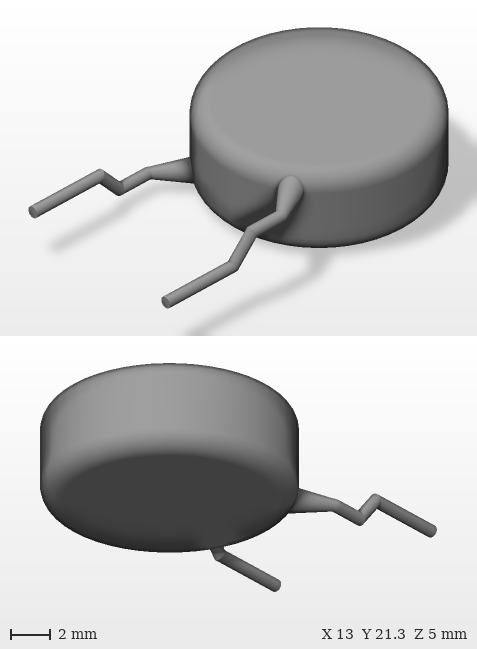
import cadquery as cq
import math


disc_diameter = 13.0
disc_height = 5.0
disc_edge_radius = 1.0
disc_radius = disc_diameter / 2

wire_diameter = 0.65
wire_radius = wire_diameter / 2
lead_spacing = 10.0
lead_level = disc_height / 2 - disc_edge_radius
kink_start_y = -8.99
kink_end_y = -10.29
overall_length = 21.3
lead_end_y = disc_radius - overall_length

collar_angle = 35.5
collar_root_radius = 0.83
collar_root_distance = disc_radius - disc_edge_radius

bend_radius = 0.35
sin_angle = math.sin(math.radians(collar_angle))
cos_angle = math.cos(math.radians(collar_angle))
bend_axis_offset = lead_spacing / 2 - bend_radius
collar_tip_distance = (bend_axis_offset + bend_radius * cos_angle) / sin_angle
bend_end_y = -collar_tip_distance * cos_angle - bend_radius * sin_angle


def make_disc():
    """Disc with rounded rims."""
    disc = cq.Workplane("XY", origin=(0, 0, -disc_height / 2)).circle(disc_radius).extrude(disc_height)
    return disc.edges("%CIRCLE").fillet(disc_edge_radius)


def collar_section(side, distance):
    """Plane square to the collar axis, at a distance from the disc axis."""
    direction = cq.Vector(side * sin_angle, -cos_angle, 0)
    center = direction * distance + cq.Vector(0, 0, side * lead_level)
    return cq.Plane(origin=center, xDir=(0, 0, 1), normal=direction)


def make_collar(side, disc):
    """Cone narrowing from the disc to the wire, trimmed to the disc surface."""
    cone = (
        cq.Workplane(collar_section(side, collar_root_distance))
        .circle(collar_root_radius)
        .workplane(offset=collar_tip_distance - collar_root_distance)
        .circle(wire_radius)
        .loft(ruled=True)
    )
    return cone.cut(disc)


def make_wire(side):
    """Bend after the collar, then a straight run kinked to mid-height."""
    lead_x = side * lead_spacing / 2
    bend_start = cq.Plane(
        origin=(lead_x, bend_end_y, side * lead_level), xDir=(1, 0, 0), normal=(0, -1, 0)
    )
    bend = (
        cq.Workplane(bend_start)
        .circle(wire_radius)
        .revolve(collar_angle, (-side * bend_radius, 0, 0), (-side * bend_radius, side, 0))
    )
    path = cq.Workplane("YZ", origin=(lead_x, 0, 0)).polyline([
        (bend_end_y, side * lead_level),
        (kink_start_y, side * lead_level),
        (kink_end_y, 0),
        (lead_end_y, 0),
    ])
    run = cq.Workplane(bend_start).circle(wire_radius).sweep(path, transition="right")
    return bend.union(run)


disc = make_disc()

collars = []
wires = []
for side in (-1, 1):
    collars.append(make_collar(side, disc).solids().val())
    wires.append(make_wire(side).solids().val())

result = cq.Compound.makeCompound([disc.solids().val(), *collars, *wires])